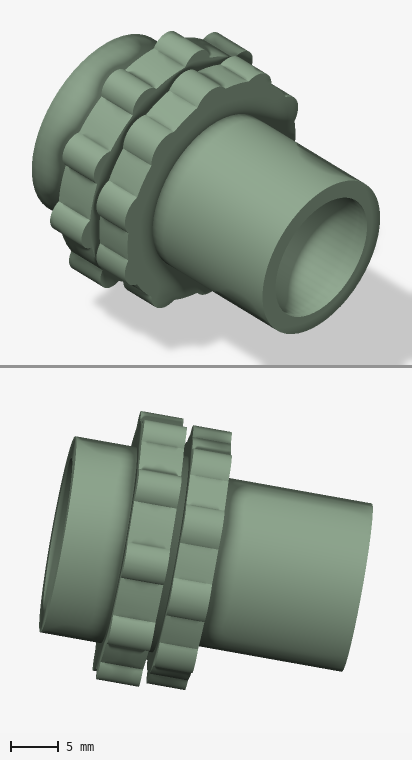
import cadquery as cq
import math

LENGTH = 32.0
JOINT_X = 12.0
LOBE_COUNT = 10

SOCKET_DIAMETER = 20.95
SOCKET_BORE = 16.3
SOCKET_GRIP_START = 6.5
SOCKET_GRIP_WIDTH = 4.55
SOCKET_GRIP_RADIUS = 13.25
SOCKET_LOBE_RADIUS = 2.0
SOCKET_LOBE_CENTER = 12.55
SOCKET_LOBE_ANGLE = 3.9

TAIL_DIAMETER = 18.0
TAIL_BORE_INLET = 15.0
TAIL_BORE = 14.0
TAIL_TAPER_LENGTH = 0.5
TAIL_GRIP_WIDTH = 4.1
TAIL_GRIP_RADIUS = 12.83
TAIL_LOBE_RADIUS = 2.6
TAIL_LOBE_CENTER = 11.2
TAIL_LOBE_ANGLE = 90.0


def cylinder(start_x, length, radius):
    """Solid cylinder on the X axis."""
    return cq.Workplane("YZ", origin=(start_x, 0, 0)).circle(radius).extrude(length)


def grip_ring(start_x, width, radius, lobe_radius, lobe_center, first_angle):
    """Disc with evenly spaced round lobes around its rim."""
    ring = cylinder(start_x, width, radius)
    for index in range(LOBE_COUNT):
        angle = math.radians(first_angle + index * 360 / LOBE_COUNT)
        lobe = cylinder(start_x, width, lobe_radius)
        ring = ring.union(
            lobe.translate((0, lobe_center * math.cos(angle), lobe_center * math.sin(angle)))
        )
    return ring


def make_socket():
    sleeve = cylinder(0, JOINT_X, SOCKET_DIAMETER / 2)
    grip = grip_ring(
        SOCKET_GRIP_START, SOCKET_GRIP_WIDTH, SOCKET_GRIP_RADIUS,
        SOCKET_LOBE_RADIUS, SOCKET_LOBE_CENTER, SOCKET_LOBE_ANGLE,
    )
    bore = cylinder(0, JOINT_X, SOCKET_BORE / 2)
    return sleeve.union(grip).cut(bore)


def make_tail():
    tail_length = LENGTH - JOINT_X
    tube = cylinder(JOINT_X, tail_length, TAIL_DIAMETER / 2)
    grip = grip_ring(
        JOINT_X, TAIL_GRIP_WIDTH, TAIL_GRIP_RADIUS,
        TAIL_LOBE_RADIUS, TAIL_LOBE_CENTER, TAIL_LOBE_ANGLE,
    )
    bore = cylinder(JOINT_X, tail_length, TAIL_BORE / 2)
    inlet = cq.Solid.makeCone(
        TAIL_BORE_INLET / 2, TAIL_BORE / 2, TAIL_TAPER_LENGTH,
        pnt=cq.Vector(JOINT_X, 0, 0), dir=cq.Vector(1, 0, 0),
    )
    return tube.union(grip).cut(bore).cut(cq.Workplane(obj=inlet))


socket = make_socket()
tail = make_tail()
result = cq.Compound.makeCompound([socket.val(), tail.val()])